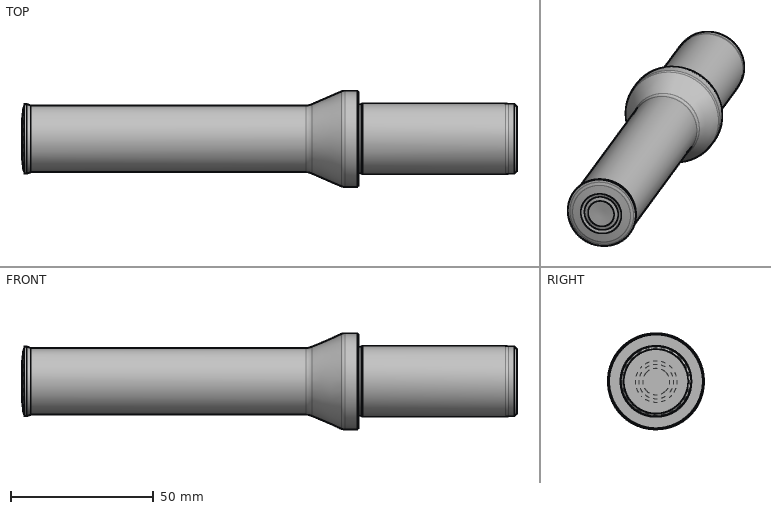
import cadquery as cq
import math

LENGTH = 174.0
TIP_X = -LENGTH / 2

TIP_RADIUS = 24.5 / 2
SHOULDER_RADIUS = 10.5
SHOULDER_DEPTH = 0.3
RIM_RADIUS = 11.5
RIM_DEPTH = 0.7
LAND_START = 0.9
LAND_END = 1.7
VALLEY_OUTER_RADIUS = 7.3
VALLEY_RADIUS = 6.1
VALLEY_INNER_RADIUS = 4.7
VALLEY_DEPTH = 0.3
DISH_DEPTH = 0.3

BODY_RADIUS = 23.5 / 2
BODY_TAPER_END = 3.1

COLLAR_RADIUS = 34.0 / 2
FLARE_START = 99.7
FLARE_ARC_RADIUS = 5.2
CREST_ARC_RADIUS = 3.0
CONE_ANGLE = math.radians(23.5)
COLLAR_END = 118.3
COLLAR_CHAMFER = 0.5

SHANK_RADIUS = 25.0 / 2
NECK_RADIUS = 12.2
NECK_END = 119.2
SHANK_LEAD_IN = 0.5
STEP_START = 169.8
STEP_LENGTH = 1.0
SHANK_END_RADIUS = 12.4
END_CHAMFER = 1.0

CONE_START = FLARE_START + FLARE_ARC_RADIUS * math.sin(CONE_ANGLE)
CONE_START_RADIUS = BODY_RADIUS + FLARE_ARC_RADIUS * (1 - math.cos(CONE_ANGLE))
CONE_END_RADIUS = COLLAR_RADIUS - CREST_ARC_RADIUS * (1 - math.cos(CONE_ANGLE))
CONE_END = CONE_START + (CONE_END_RADIUS - CONE_START_RADIUS) / math.tan(CONE_ANGLE)
RIM_START = CONE_END + CREST_ARC_RADIUS * math.sin(CONE_ANGLE)


def revolve_about_axis(outline):
    """Turn a closed (axial, radius) outline into a solid about the X axis."""
    return outline.close().revolve(360, (0, 0, 0), (1, 0, 0))


def profile_from_tip():
    """Start a sketch plane whose origin is on the axis at the tip crest."""
    return cq.Workplane("XY", origin=(TIP_X, 0, 0))


def make_cutting_tip():
    outline = profile_from_tip().polyline([
        (DISH_DEPTH, 0),
        (0, VALLEY_INNER_RADIUS),
        (VALLEY_DEPTH, VALLEY_RADIUS),
        (0, VALLEY_OUTER_RADIUS),
        (SHOULDER_DEPTH, SHOULDER_RADIUS),
        (RIM_DEPTH, RIM_RADIUS),
        (LAND_START, TIP_RADIUS),
        (LAND_END, TIP_RADIUS),
        (LAND_END, 0),
    ])
    return revolve_about_axis(outline)


def make_holder():
    body = (
        profile_from_tip()
        .moveTo(LAND_END, 0)
        .lineTo(LAND_END, TIP_RADIUS)
        .lineTo(BODY_TAPER_END, BODY_RADIUS)
        .lineTo(FLARE_START, BODY_RADIUS)
    )
    collar = (
        body
        .tangentArcPoint((CONE_START, CONE_START_RADIUS), relative=False)
        .lineTo(CONE_END, CONE_END_RADIUS)
        .tangentArcPoint((RIM_START, COLLAR_RADIUS), relative=False)
        .lineTo(COLLAR_END - COLLAR_CHAMFER, COLLAR_RADIUS)
        .lineTo(COLLAR_END, COLLAR_RADIUS - COLLAR_CHAMFER)
    )
    neck = (
        collar
        .lineTo(COLLAR_END, NECK_RADIUS)
        .lineTo(NECK_END, NECK_RADIUS)
        .lineTo(NECK_END + SHANK_LEAD_IN, SHANK_RADIUS)
    )
    shank = (
        neck
        .lineTo(STEP_START, SHANK_RADIUS)
        .lineTo(STEP_START + STEP_LENGTH, SHANK_END_RADIUS)
        .lineTo(LENGTH - END_CHAMFER, SHANK_END_RADIUS)
        .lineTo(LENGTH, SHANK_END_RADIUS - END_CHAMFER)
        .lineTo(LENGTH, 0)
    )
    return revolve_about_axis(shank)


cutting_tip = make_cutting_tip()
holder = make_holder()

result = cq.Compound.makeCompound([cutting_tip.val(), holder.val()])